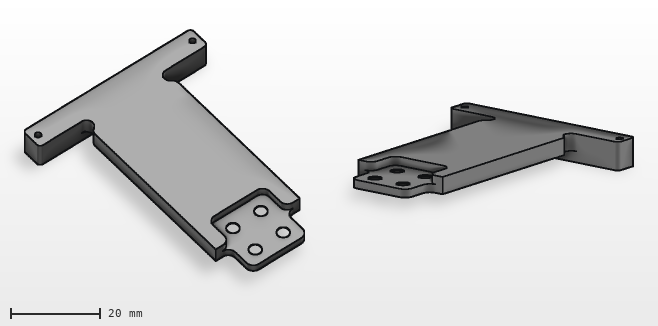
import cadquery as cq
import math

total_length = 61.8
bar_length = 48.0
bar_height = 6.6

bar_width = 6.0
bar_corner_radius = 1.0
bar_hole_diameter = 1.55
bar_hole_end_distance = 2.0

arm_end = 53.9
arm_width = 24.0
arm_thickness = 4.0
arm_bottom = bar_height - arm_thickness

notch_radius = 1.7
notch_lip_radius = 2.0

tab_start = 46.05
tab_width = 16.0
tab_thickness = 2.0
tab_radius = 2.0
tab_hole_diameter = 3.0
tab_hole_spacing = 8.0
countersink_diameter = 6.4
countersink_angle = 90
tab_hole_end_distance = 3.85
tab_top = arm_bottom + tab_thickness


def make_crossbar():
    """Full-height bar with rounded corners."""
    return (
        cq.Workplane("XY")
        .box(bar_width, bar_length, bar_height, centered=(False, True, False))
        .edges("|Z")
        .fillet(bar_corner_radius)
    )


def make_arm():
    """Plain arm starting at the inner face of the crossbar."""
    return (
        cq.Workplane("XY", origin=(bar_width, 0, arm_bottom))
        .box(arm_end - bar_width, arm_width, arm_thickness, centered=(False, True, False))
    )


def make_notch():
    """Cutter for the +Y notch: a round bottom running tangentially into a rounded lip."""
    edge = arm_width / 2
    center_x = bar_width + notch_radius
    center_distance = notch_radius + notch_lip_radius
    lip_angle = math.asin(notch_lip_radius / center_distance)
    lip_end_x = center_x + center_distance * math.cos(lip_angle)
    lip_center_y = edge - notch_lip_radius
    lip_mid_angle = (math.pi / 2 + math.pi - lip_angle) / 2
    return (
        cq.Workplane("XY", origin=(0, 0, arm_bottom))
        .moveTo(bar_width, edge)
        .threePointArc(
            (center_x, edge - notch_radius),
            (
                center_x + notch_radius * math.cos(lip_angle),
                edge - notch_radius * math.sin(lip_angle),
            ),
        )
        .threePointArc(
            (
                lip_end_x + notch_lip_radius * math.cos(lip_mid_angle),
                lip_center_y + notch_lip_radius * math.sin(lip_mid_angle),
            ),
            (lip_end_x, edge),
        )
        .close()
        .extrude(arm_thickness)
    )


def make_tab_plate(bottom, thickness):
    """Rounded rectangle with the footprint of the tab."""
    return (
        cq.Workplane("XY", origin=(tab_start, 0, bottom))
        .box(total_length - tab_start, tab_width, thickness, centered=(False, True, False))
        .edges("|Z")
        .fillet(tab_radius)
    )


def make_corner_web(direction, bottom, thickness):
    """Concave +Y corner between the tab side and the arm end; direction is +1 or -1 along X."""
    side = tab_width / 2
    arc_inset = tab_radius * (1 - math.sqrt(0.5))
    return (
        cq.Workplane("XY", origin=(0, 0, bottom))
        .moveTo(arm_end, side)
        .lineTo(arm_end + direction * tab_radius, side)
        .threePointArc(
            (arm_end + direction * arc_inset, side + arc_inset),
            (arm_end, side + tab_radius),
        )
        .close()
        .extrude(thickness)
    )


def both_sides(shape):
    """The shape together with its mirror image across the XZ plane."""
    return shape.union(shape.mirror("XZ"))


result = make_crossbar().union(make_arm()).cut(both_sides(make_notch()))
result = result.union(make_tab_plate(arm_bottom, tab_thickness))
result = result.union(both_sides(make_corner_web(1, arm_bottom, tab_thickness)))

recess_depth = bar_height - tab_top
result = result.cut(make_tab_plate(tab_top, recess_depth))
result = result.cut(both_sides(make_corner_web(-1, tab_top, recess_depth)))

bar_holes = (
    cq.Workplane("XY", origin=(bar_width / 2, 0, 0))
    .rarray(0.6, bar_length - 2 * bar_hole_end_distance, 1, 2)
    .circle(bar_hole_diameter / 2)
    .extrude(bar_height)
)
result = result.cut(bar_holes)

tab_pattern_x = total_length - tab_hole_end_distance - tab_hole_spacing / 2
result = (
    result.copyWorkplane(cq.Workplane("XY", origin=(tab_pattern_x, 0, arm_bottom)))
    .transformed(rotate=(180, 0, 0))
    .rarray(tab_hole_spacing, tab_hole_spacing, 2, 2)
    .cskHole(tab_hole_diameter, countersink_diameter, countersink_angle, depth=tab_thickness)
)